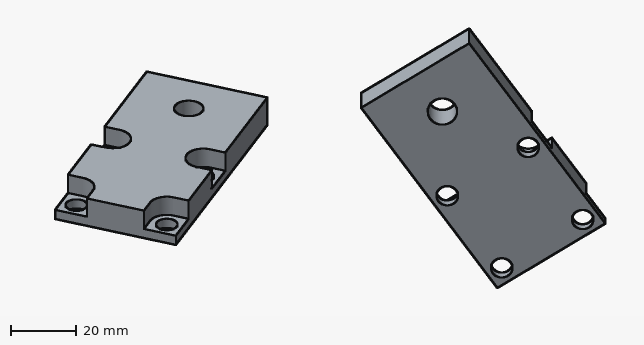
import cadquery as cq

length = 75.0
width = 40.0
thickness = 10.0

screw_hole_diameter = 6.6
head_recess_diameter = 11.0
head_recess_depth = 6.6
screw_edge_distance = 5.0
screw_row_spacing = 30.0

main_hole_diameter = 9.0
main_hole_from_front = 60.0

recess_radius = head_recess_diameter / 2
recess_floor = thickness - head_recess_depth
screw_x = width / 2 - screw_edge_distance
front_row_y = screw_edge_distance
rear_row_y = front_row_y + screw_row_spacing


def through_hole(x, y, diameter):
    return cq.Workplane("XY").center(x, y).circle(diameter / 2).extrude(thickness)


def head_recess(side, y, open_to_front):
    """Round recess open to the long side, and also to the front edge if asked."""
    x = side * screw_x
    floor = cq.Workplane("XY").workplane(offset=recess_floor)
    recess = floor.center(x, y).circle(recess_radius).extrude(head_recess_depth)
    side_opening = (
        floor.center(x + side * screw_edge_distance / 2, y)
        .rect(screw_edge_distance, head_recess_diameter)
        .extrude(head_recess_depth)
    )
    recess = recess.union(side_opening)
    if open_to_front:
        front_opening = (
            floor.center(x, y / 2)
            .rect(head_recess_diameter, y)
            .extrude(head_recess_depth)
        )
        recess = recess.union(front_opening)
    return recess


result = cq.Workplane("XY").box(width, length, thickness, centered=(True, False, False))
result = result.cut(through_hole(0, main_hole_from_front, main_hole_diameter))

for side in (-1, 1):
    for row_y in (front_row_y, rear_row_y):
        result = result.cut(head_recess(side, row_y, open_to_front=row_y == front_row_y))
        result = result.cut(through_hole(side * screw_x, row_y, screw_hole_diameter))